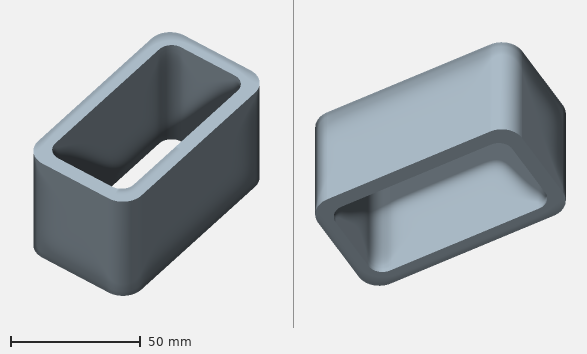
import cadquery as cq

width = 50.0
length = 90.0
height = 50.0

wall = 6.0
outer_corner_radius = 9.0
inner_corner_radius = 6.0


def rounded_block(size_x, size_y, corner_radius):
    """Full-height block with rounded vertical edges, standing on Z = 0."""
    block = cq.Workplane("XY").box(size_x, size_y, height, centered=(True, True, False))
    return block.edges("|Z").fillet(corner_radius)


outer_body = rounded_block(width, length, outer_corner_radius)
through_opening = rounded_block(width - 2 * wall, length - 2 * wall, inner_corner_radius)

result = outer_body.cut(through_opening)